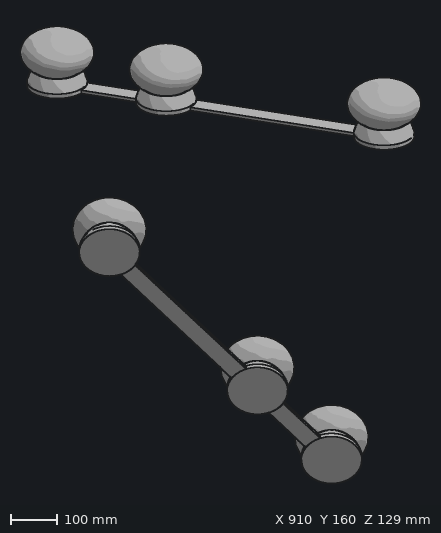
import cadquery as cq
import math

overall_length = 910.0
globe_radius = 80.0
middle_spacing = 250.0
right_lamp_x = overall_length / 2 - globe_radius
left_lamp_x = -right_lamp_x
lamp_positions = [left_lamp_x, left_lamp_x + middle_spacing, right_lamp_x]

base_radius = 65.5
base_top_radius = 52.0
base_height = 40.0
rim_height = 11.0
wall_bulge = 2.0

overall_height = 129.0
globe_center_z = 79.0
globe_half_height = overall_height - globe_center_z

strap_width = 41.0
strap_thickness = 8.0


def make_base(x):
    """Revolved base with its flat underside on Z = 0."""
    wall_rise = base_height - rim_height
    wall_inset = base_radius - base_top_radius
    wall_length = math.hypot(wall_rise, wall_inset)
    wall_middle = (
        (base_radius + base_top_radius) / 2 + wall_bulge * wall_rise / wall_length,
        (rim_height + base_height) / 2 + wall_bulge * wall_inset / wall_length,
    )
    return (
        cq.Workplane("XZ")
        .lineTo(base_radius, 0)
        .lineTo(base_radius, rim_height)
        .threePointArc(wall_middle, (base_top_radius, base_height))
        .lineTo(0, base_height)
        .close()
        .revolve(360, (0, 0), (0, 1))
        .translate((x, 0, 0))
    )


def make_globe(x):
    """Revolved ellipsoid with a flat seat on top of the base."""
    seat_drop = globe_center_z - base_height
    seat_radius = globe_radius * math.sqrt(1 - (seat_drop / globe_half_height) ** 2)
    seat_angle = -math.asin(seat_drop / globe_half_height)

    def ellipse_point(t):
        angle = seat_angle + t * (math.pi / 2 - seat_angle)
        return (
            globe_radius * math.cos(angle),
            globe_center_z + globe_half_height * math.sin(angle),
        )

    return (
        cq.Workplane("XZ")
        .moveTo(0, base_height)
        .lineTo(seat_radius, base_height)
        .parametricCurve(ellipse_point, start=0, stop=1, makeWire=False)
        .lineTo(0, base_height)
        .close()
        .revolve(360, (0, 0), (0, 1))
        .translate((x, 0, 0))
    )


def make_strap(start_x, end_x):
    """Flat strap whose ends are hollowed to fit the round base rims."""
    strap = (
        cq.Workplane("XY")
        .center((start_x + end_x) / 2, 0)
        .rect(end_x - start_x, strap_width)
        .extrude(strap_thickness)
    )
    rims = (
        cq.Workplane("XY")
        .pushPoints([(start_x, 0), (end_x, 0)])
        .circle(base_radius)
        .extrude(rim_height)
    )
    return strap.cut(rims)


bases = [make_base(x) for x in lamp_positions]
globes = [make_globe(x) for x in lamp_positions]
straps = [make_strap(start, end) for start, end in zip(lamp_positions, lamp_positions[1:])]

result = cq.Compound.makeCompound([body.val() for body in bases + globes + straps])